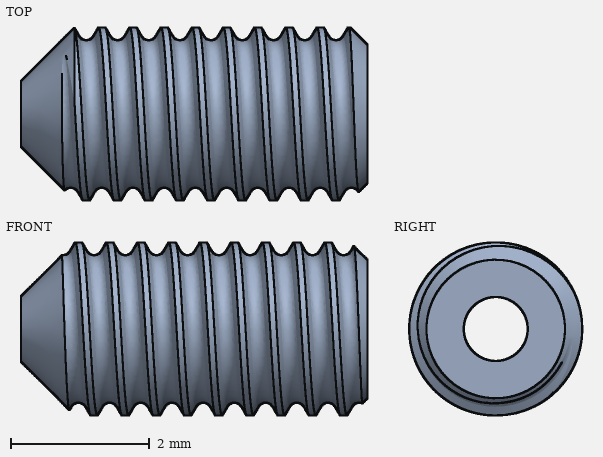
import cadquery as cq
import math

length = 5.0
outer_radius = 1.25
tip_radius = 0.475
bore_radius = 0.46
end_chamfer = 0.25

pitch = 0.45
crest_width = 0.095
thread_depth = 0.185
flank_half_angle = math.radians(30)
groove_start = 0.38
groove_turns = 11
cutter_overshoot = 0.025


def make_body():
    cone_length = outer_radius - tip_radius
    outline = [
        (0, bore_radius),
        (0, tip_radius),
        (cone_length, outer_radius),
        (length - end_chamfer, outer_radius),
        (length, outer_radius - end_chamfer),
        (length, bore_radius),
    ]
    return cq.Workplane("XY").polyline(outline).close().revolve(360, (0, 0, 0), (1, 0, 0))


def make_groove_turn():
    half_width = (pitch - crest_width) / 2
    vee_depth = half_width / math.tan(flank_half_angle)
    root_arc_radius = (vee_depth - thread_depth) / (1 / math.sin(flank_half_angle) - 1)
    root_radius = outer_radius - thread_depth
    tangent_radius = root_radius + root_arc_radius * (1 - math.sin(flank_half_angle))
    tangent_half_width = root_arc_radius * math.cos(flank_half_angle)
    mouth_radius = outer_radius + cutter_overshoot
    mouth_half_width = half_width + cutter_overshoot * math.tan(flank_half_angle)

    profile = (
        cq.Workplane("XZ")
        .moveTo(mouth_radius, -mouth_half_width)
        .lineTo(tangent_radius, -tangent_half_width)
        .threePointArc((root_radius, 0), (tangent_radius, tangent_half_width))
        .lineTo(mouth_radius, mouth_half_width)
        .close()
    )
    helix = cq.Wire.makeHelix(pitch, pitch, outer_radius)
    groove = profile.sweep(cq.Workplane(helix), isFrenet=True)
    return groove.rotate((0, 0, 0), (0, 1, 0), 90).translate((groove_start, 0, 0))


def cut_thread(body):
    groove_turn = make_groove_turn()
    for turn in range(groove_turns):
        body = body.cut(groove_turn.translate((turn * pitch, 0, 0)), clean=False)
    return body


result = cut_thread(make_body())